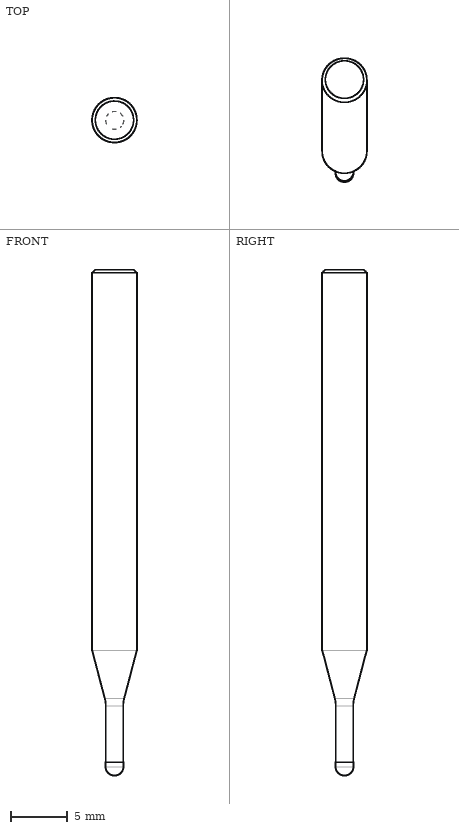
import cadquery as cq
import math

overall_length = 45.0
shank_radius = 4.0 / 2
shank_chamfer = 0.3
taper_top_z = 11.15
ball_radius = 1.6 / 2
cutter_length = 1.2
neck_radius = 1.58 / 2
flare_start_z = 6.2
flare_end_z = 6.9
flare_end_radius = 1.75 / 2


def make_cutter():
    """Hemispherical tip with a short cylinder above it."""
    arc_offset = ball_radius * math.sqrt(0.5)
    return (
        cq.Workplane("XZ")
        .moveTo(0, 0)
        .threePointArc((arc_offset, ball_radius - arc_offset), (ball_radius, ball_radius))
        .lineTo(ball_radius, cutter_length)
        .lineTo(0, cutter_length)
        .close()
        .revolve(360, (0, 0, 0), (0, 1, 0))
    )


def make_shank():
    """Neck, concave flare, taper and chamfered shank turned as one body."""
    return (
        cq.Workplane("XZ")
        .moveTo(0, cutter_length)
        .lineTo(neck_radius, cutter_length)
        .lineTo(neck_radius, flare_start_z)
        .tangentArcPoint((flare_end_radius, flare_end_z), relative=False)
        .lineTo(shank_radius, taper_top_z)
        .lineTo(shank_radius, overall_length - shank_chamfer)
        .lineTo(shank_radius - shank_chamfer, overall_length)
        .lineTo(0, overall_length)
        .close()
        .revolve(360, (0, 0, 0), (0, 1, 0))
    )


cutter = make_cutter()
shank = make_shank()

result = cq.Compound.makeCompound([cutter.val(), shank.val()])